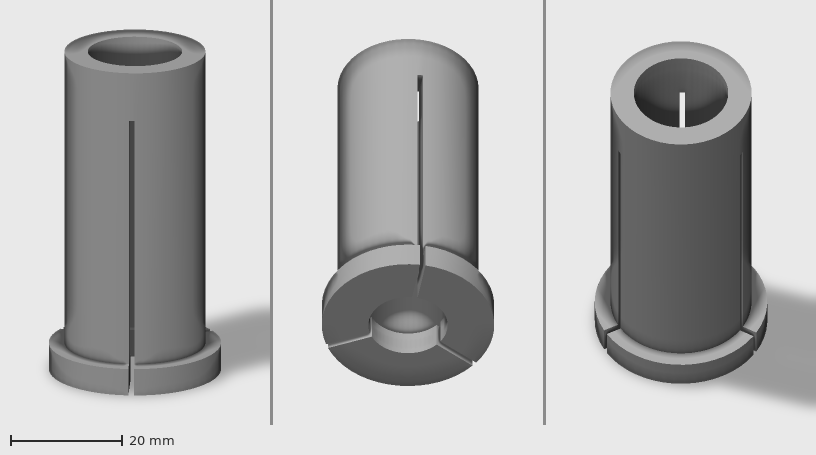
import cadquery as cq

total_height = 60
flange_diameter = 31.0
flange_thickness = 5.0
tube_diameter = 25.4
bore_diameter = 17.0
lip_bore_diameter = 14.3
lip_height = flange_thickness

slit_count = 3
slit_width = 1.0
slit_height = 51
first_slit_angle = 90


def sleeve_body():
    """Flanged tube standing on its flange."""
    flange = cq.Workplane("XY").circle(flange_diameter / 2).extrude(flange_thickness)
    tube = cq.Workplane("XY").circle(tube_diameter / 2).extrude(total_height)
    return flange.union(tube)


def stepped_bore():
    """Through bore that narrows to an inner lip at the flange end."""
    narrow = cq.Workplane("XY").circle(lip_bore_diameter / 2).extrude(total_height)
    wide = (
        cq.Workplane("XY")
        .workplane(offset=lip_height)
        .circle(bore_diameter / 2)
        .extrude(total_height - lip_height)
    )
    return narrow.union(wide)


def slit(angle):
    """Radial slit from the axis outwards, open at the flange end."""
    return (
        cq.Workplane("XY")
        .box(flange_diameter, slit_width, slit_height, centered=(False, True, False))
        .rotate((0, 0, 0), (0, 0, 1), angle)
    )


result = sleeve_body().cut(stepped_bore())
for index in range(slit_count):
    result = result.cut(slit(first_slit_angle + index * 360 / slit_count))